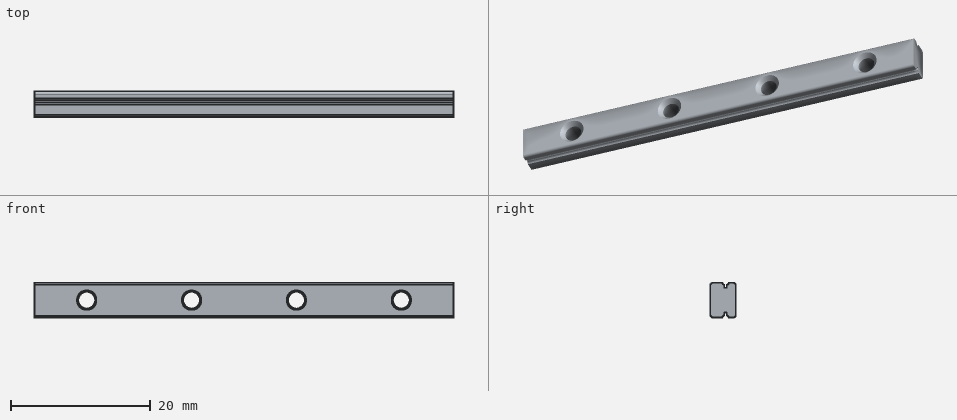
import cadquery as cq
import math

length = 60.0
width = 3.7
height = 5.0

edge_chamfer = 0.3
edge_radius = 0.4

race_radius = 0.5
race_width = 0.95
slot_width = 0.35
slot_depth = 0.7
groove_offset = 0.36

hole_count = 4
hole_pitch = length / hole_count
hole_diameter = 2.4
front_rim_diameter = 2.8
back_rim_diameter = 3.6


def make_bar():
    """Plain bar centred on the origin with its long edges broken."""
    bar = cq.Workplane("XY").box(length, width, height)
    bar = bar.faces("<Y").edges("|X").chamfer(edge_chamfer)
    return bar.faces(">Y").edges("|X").fillet(edge_radius)


def make_groove():
    """Cutter for the top groove: a round race with a narrow relief slot along its bottom."""
    top = height / 2
    race_centre = top + math.sqrt(race_radius**2 - (race_width / 2) ** 2)
    race = cq.Workplane("YZ").center(groove_offset, race_centre).circle(race_radius)
    slot = cq.Workplane("YZ").center(groove_offset, top - slot_depth / 2).rect(slot_width, slot_depth)
    half_length = length / 2
    return race.extrude(half_length, both=True).union(slot.extrude(half_length, both=True))


def make_hole(x):
    """Cutter for one through hole along Y with a 45 degree countersink at each face."""
    radius = hole_diameter / 2
    front_rim = front_rim_diameter / 2
    back_rim = back_rim_diameter / 2
    front_sink_depth = front_rim - radius
    back_sink_depth = back_rim - radius
    face = width / 2
    return (
        cq.Workplane("XY")
        .moveTo(0, -face)
        .lineTo(front_rim, -face)
        .lineTo(radius, -face + front_sink_depth)
        .lineTo(radius, face - back_sink_depth)
        .lineTo(back_rim, face)
        .lineTo(0, face)
        .close()
        .revolve(360, (0, 0, 0), (0, 1, 0))
        .translate((x, 0, 0))
    )


top_groove = make_groove()
result = make_bar().cut(top_groove).cut(top_groove.mirror("XY"))
for index in range(hole_count):
    hole_x = (index - (hole_count - 1) / 2) * hole_pitch
    result = result.cut(make_hole(hole_x))